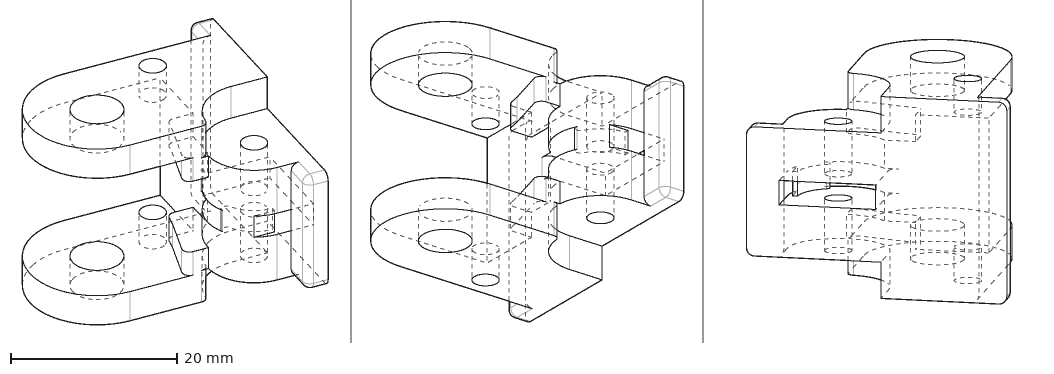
import cadquery as cq
import math

length = 32.0
height = 25.0
depth = 30.65

plate_thickness = 2.98
plate_round = 1.0
flange_overlap = 1.6

clevis_left = 4.0
clevis_width = 18.0
clevis_right = clevis_left + clevis_width
arm_radius = clevis_width / 2
arm_center_x = clevis_left + arm_radius
arm_center_y = arm_radius - depth
arm_thickness = 4.15
gap_height = height - 2 * arm_thickness
wall_depth = 8.75
arm_hole_diameter = 6.5
side_hole_x = 7.1
side_hole_y = -11.25
small_hole_diameter = 3.3

ear_radius = 6.25
ear_x = 21.73
ear_y = -4.9
ear_left = ear_x - ear_radius
ear_right = ear_x + ear_radius
ear_height = 16.0
arm_corner_round = 0.95

stop_height = 3.33
stop_left = arm_center_x
stop_shoulder_x = 15.4
stop_corner_y = -12.2
stop_shoulder_y = -12.67
stop_slope = math.radians(15.2)
stop_round = 0.95

slot_height = 3.0
slot_left = 16.13
slot_mouth_round = 1.0
bar_left = 23.78
bar_right = 27.33
bar_thickness = 1.25
bar_round = 0.5



def block(x_min, x_max, y_min, y_max, block_height):
    """Box centred on mid height."""
    box = cq.Workplane("XY").box(x_max - x_min, y_max - y_min, block_height, centered=(False, False, True))
    return box.translate((x_min, y_min, 0))


def tongue(x, y, radius, tongue_height):
    """Plate running from the back face to a half-round end centred at (x, y)."""
    outline = (
        cq.Workplane("XY")
        .moveTo(x - radius, 0)
        .lineTo(x - radius, y)
        .threePointArc((x, y - radius), (x + radius, y))
        .lineTo(x + radius, 0)
        .close()
    )
    return outline.extrude(tongue_height / 2, both=True)


def hole(x, y, diameter):
    """Vertical cylinder through the full height."""
    return cq.Workplane("XY").center(x, y).circle(diameter / 2).extrude(height / 2, both=True)


def flange(x_min, x_max, flange_height, end):
    """Plate end rounded on its front face and on its outer end."""
    plate = block(x_min, x_max, -plate_thickness, 0, flange_height)
    outer_edges = plate.faces("<Y").edges("|X").add(plate.faces(end).edges("|Y or <Y"))
    return outer_edges.fillet(plate_round)


def clevis():
    """Forked body: a back wall with two round-ended arms."""
    body = tongue(arm_center_x, arm_center_y, arm_radius, height)
    return body.cut(block(clevis_left, clevis_right, -depth, -wall_depth, gap_height))


def cut_ear_clearance(body):
    """Clear the space above and below the ear and round the arm corners this leaves."""
    ear_outline = tongue(ear_x, ear_y, ear_radius, height)
    body = body.cut(ear_outline.cut(block(ear_left, ear_right, -depth, 0, ear_height)))
    corner_y = ear_y - math.sqrt(ear_radius**2 - (clevis_right - ear_x) ** 2)
    for side in (-1, 1):
        arm_z = side * (height - arm_thickness) / 2
        corner = cq.selectors.NearestToPointSelector((clevis_right, corner_y, arm_z))
        body = body.edges("|Z").edges(corner).fillet(arm_corner_round)
    return body


def stops():
    """Pair of sloped stop blocks lining the arms."""
    slope_end_y = stop_shoulder_y - (clevis_right - stop_shoulder_x) * math.tan(stop_slope)
    profile = (
        cq.Workplane("XY")
        .moveTo(stop_left, -wall_depth)
        .lineTo(stop_left, stop_corner_y)
        .lineTo(stop_shoulder_x, stop_shoulder_y)
        .lineTo(clevis_right, slope_end_y)
        .lineTo(clevis_right, -wall_depth)
        .close()
        .extrude(gap_height / 2, both=True)
    )
    profile = profile.edges("|Z and <X").edges("<Y").fillet(stop_round)
    profile = profile.edges("|Z and >X").edges("<Y").fillet(stop_round)
    return profile.cut(block(0, length, -depth, 0, gap_height - 2 * stop_height))


def cut_slot(body):
    """Cut the slot around the curved bar, then round its mouth and the tip of the bar."""
    inner_radius = ear_radius - bar_thickness
    bar_span = block(bar_left, bar_right, -depth, ear_y, slot_height)
    bar_span = bar_span.cut(hole(ear_x, ear_y, 2 * inner_radius))
    body = body.cut(block(slot_left, ear_right, -depth, 0, slot_height).cut(bar_span))
    mouth = cq.selectors.NearestToPointSelector((slot_left, -wall_depth, 0))
    body = body.edges("|Z").edges(mouth).fillet(slot_mouth_round)
    tip_y = [ear_y - math.sqrt(radius**2 - (bar_left - ear_x) ** 2) for radius in (inner_radius, ear_radius)]
    tip_edges = [
        body.edges("|Z").edges(cq.selectors.NearestToPointSelector((bar_left, y, 0))).val() for y in tip_y
    ]
    return body.newObject(tip_edges).fillet(bar_round)


body = cut_ear_clearance(clevis().union(stops()))
body = body.union(tongue(ear_x, ear_y, ear_radius, ear_height))
body = body.union(flange(0, clevis_left + flange_overlap, height, "<X"))
body = body.union(flange(ear_right - flange_overlap, length, ear_height, ">X"))

body = body.cut(hole(arm_center_x, arm_center_y, arm_hole_diameter))
body = body.cut(hole(side_hole_x, side_hole_y, small_hole_diameter))
body = body.cut(hole(ear_x, ear_y, small_hole_diameter))

result = cut_slot(body)